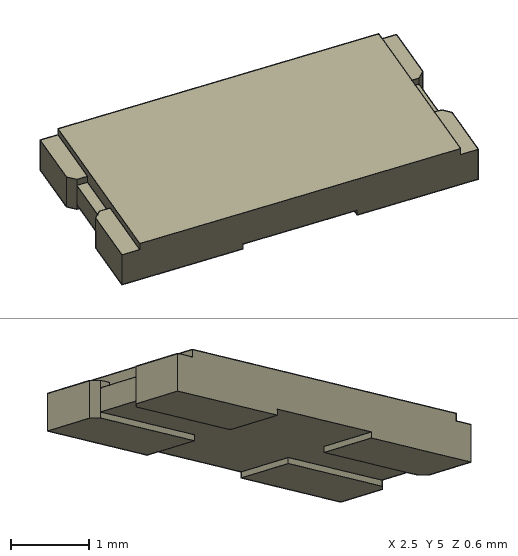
import cadquery as cq

width = 2.5
length = 5.0
height = 0.6

plating = 0.1
pad_thickness = 0.08
pad_gap = 1.6
notch_width = 0.69
notch_chamfer = 0.1

substrate_length = length - 2 * plating
substrate_top = 0.4
cover_length = 4.5
terminal_top = substrate_top + plating


def box(size_x, size_y, bottom, top):
    """Block centred on the Z axis, spanning bottom to top."""
    return (
        cq.Workplane("XY")
        .workplane(offset=bottom)
        .rect(size_x, size_y)
        .extrude(top - bottom)
    )


def terminal():
    """C-shaped terminal on the +X side of the +Y end, wrapping the substrate."""
    inner_x = notch_width / 2
    outer_x = width / 2
    end_y = length / 2
    pad_y = pad_gap / 2
    block = (
        cq.Workplane("XY")
        .moveTo(inner_x, pad_y)
        .lineTo(outer_x, pad_y)
        .lineTo(outer_x, end_y)
        .lineTo(inner_x + notch_chamfer, end_y)
        .lineTo(inner_x, end_y - notch_chamfer)
        .close()
        .extrude(terminal_top)
    )
    return block.cut(box(width, cover_length, pad_thickness, terminal_top))


substrate = box(width, substrate_length, pad_thickness, substrate_top)
cover = box(width, cover_length, substrate_top, height)

result = substrate.union(cover)
right_back = terminal()
left_back = right_back.mirror("YZ")
for back_terminal in (right_back, left_back):
    result = result.union(back_terminal)
    result = result.union(back_terminal.mirror("XZ"))